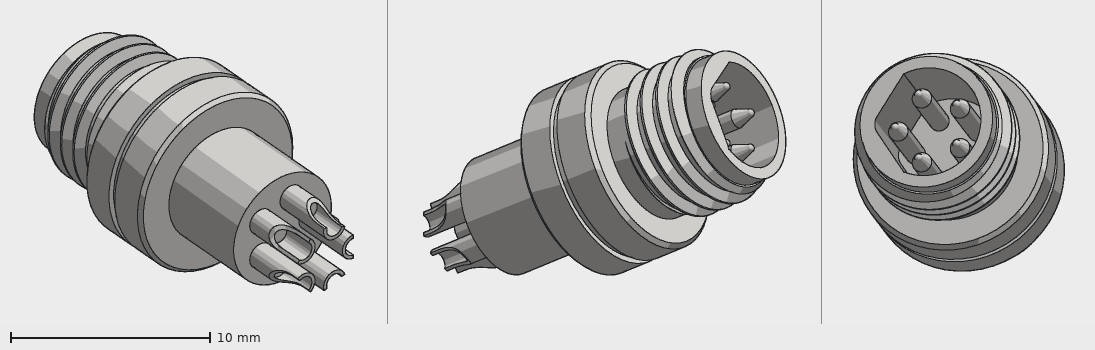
import cadquery as cq
import math


SLEEVE_RADIUS = 3.4
SLEEVE_LENGTH = 1.0
NECK_RADIUS = 3.5
FLANGE_DIAMETER = 10.0
FLANGE_RADIUS = FLANGE_DIAMETER / 2
FLANGE_FRONT = 6.0
FLANGE_REAR = 10.5
FRONT_CHAMFER = 0.23
REAR_CHAMFER = 0.21
GROOVE_FRONT = 8.0
GROOVE_WIDTH = 0.46
GROOVE_RADIUS = 4.7

THREAD_RADIUS = 4.0
THREAD_PITCH = 1.0
THREAD_TURNS = 4
THREAD_FLANK_ANGLE = 30
CREST_WIDTH = 0.12
CREST_START = 1.65
LEAD_IN_TURNS = 2
RIDGE_TURNS = THREAD_TURNS + 3
ROOT_OVERLAP = 0.04
CREST_CLEARANCE = 0.05
THREAD_FRONT = SLEEVE_LENGTH
THREAD_REAR = THREAD_FRONT + THREAD_TURNS * THREAD_PITCH

SOCKET_RADIUS = 2.8
SOCKET_DEPTH = FLANGE_FRONT
KEY_FLAT_ANGLE = 32.6
KEY_NOSE_RADIUS = 0.8
KEY_CORNER_ANGLE = 65.6

INSERT_RADIUS = 3.15
INSERT_FRONT = SOCKET_DEPTH
INSERT_REAR = 15.7

PIN_COUNT = 5
PIN_CIRCLE_RADIUS = 1.75
PIN_RADIUS = 0.5
PIN_TIP = 0.5
PIN_TIP_RADIUS = 0.21
PIN_SHOULDER = 1.55
PIN_END = 19.2

CUP_DIAMETER = 1.4
CUP_RADIUS = CUP_DIAMETER / 2
CUP_FRONT = INSERT_REAR
CUP_BORE_RADIUS = 0.5
CUP_BORE_FRONT = 17.18
CUP_CUT_RADIUS = 2.0
CUP_CUT_FLAT_START = 18.7


def cylinder(radius, front, rear):
    """Round bar on the X axis from X = front to X = rear."""
    return cq.Workplane("YZ", origin=(front, 0, 0)).circle(radius).extrude(rear - front)


def revolved(points):
    """Solid of revolution about the X axis from (x, radius) points."""
    return cq.Workplane("XY").polyline(points).close().revolve(360, (0, 0, 0), (1, 0, 0))


def make_thread():
    """Helical ridge, trimmed to a bevelled sleeve around the neck."""
    inner_radius = NECK_RADIUS - ROOT_OVERLAP
    half_crest = CREST_WIDTH / 2
    half_base = half_crest + (THREAD_RADIUS - inner_radius) * math.tan(math.radians(THREAD_FLANK_ANGLE))
    helix = cq.Wire.makeHelix(THREAD_PITCH, RIDGE_TURNS * THREAD_PITCH, inner_radius)
    ridge = (
        cq.Workplane("XZ")
        .polyline([
            (inner_radius, -half_base),
            (THREAD_RADIUS, -half_crest),
            (THREAD_RADIUS, half_crest),
            (inner_radius, half_base),
        ])
        .close()
        .sweep(cq.Workplane(obj=helix), isFrenet=True)
        .rotate((0, 0, 0), (0, 0, 1), 180)
        .rotate((0, 0, 0), (0, 1, 0), 90)
        .translate((CREST_START - LEAD_IN_TURNS * THREAD_PITCH, 0, 0))
    )
    bevel_height = THREAD_RADIUS - NECK_RADIUS + CREST_CLEARANCE
    envelope = revolved([
        (THREAD_FRONT, 0),
        (THREAD_FRONT, NECK_RADIUS),
        (THREAD_FRONT + bevel_height, NECK_RADIUS + bevel_height),
        (THREAD_REAR - bevel_height, NECK_RADIUS + bevel_height),
        (THREAD_REAR, NECK_RADIUS),
        (THREAD_REAR, 0),
    ])
    return ridge.intersect(envelope)


def make_socket():
    """Round recess whose +Y side narrows along two flats to a rounded key nose."""
    corner_angle = math.radians(KEY_CORNER_ANGLE)
    corner_y = SOCKET_RADIUS * math.cos(corner_angle)
    corner_z = SOCKET_RADIUS * math.sin(corner_angle)
    key_point_y = corner_y + corner_z * math.tan(math.radians(KEY_FLAT_ANGLE))
    return (
        cq.Workplane("YZ")
        .moveTo(corner_y, corner_z)
        .threePointArc((-SOCKET_RADIUS, 0), (corner_y, -corner_z))
        .lineTo(key_point_y, 0)
        .close()
        .extrude(SOCKET_DEPTH)
        .edges("|X and >Y")
        .fillet(KEY_NOSE_RADIUS)
    )


def make_housing():
    """Turned shell with the thread, the keyed socket and a rear bore for the insert."""
    groove_rear = GROOVE_FRONT + GROOVE_WIDTH
    body = revolved([
        (0, 0),
        (0, SLEEVE_RADIUS),
        (SLEEVE_LENGTH, SLEEVE_RADIUS),
        (SLEEVE_LENGTH, NECK_RADIUS),
        (FLANGE_FRONT, NECK_RADIUS),
        (FLANGE_FRONT, FLANGE_RADIUS - FRONT_CHAMFER),
        (FLANGE_FRONT + FRONT_CHAMFER, FLANGE_RADIUS),
        (GROOVE_FRONT, FLANGE_RADIUS),
        (GROOVE_FRONT, GROOVE_RADIUS),
        (groove_rear, GROOVE_RADIUS),
        (groove_rear, FLANGE_RADIUS),
        (FLANGE_REAR - REAR_CHAMFER, FLANGE_RADIUS),
        (FLANGE_REAR, FLANGE_RADIUS - REAR_CHAMFER),
        (FLANGE_REAR, 0),
    ])
    insert_bore = cylinder(INSERT_RADIUS, INSERT_FRONT, FLANGE_REAR)
    return body.union(make_thread()).cut(make_socket()).cut(insert_bore)


def at_pin_place(shape, index):
    """Move a shape from the X axis to one of the places on the pin circle."""
    angle = index * 360 / PIN_COUNT
    return shape.translate((0, PIN_CIRCLE_RADIUS, 0)).rotate((0, 0, 0), (1, 0, 0), angle)


def make_pin_blank():
    """Pin on the X axis, before its solder cup is opened."""
    diagonal = PIN_TIP_RADIUS * math.sqrt(0.5)
    ball_center = PIN_TIP + PIN_TIP_RADIUS
    return (
        cq.Workplane("XY")
        .moveTo(PIN_TIP, 0)
        .threePointArc((ball_center - diagonal, diagonal), (ball_center, PIN_TIP_RADIUS))
        .lineTo(PIN_SHOULDER, PIN_RADIUS)
        .lineTo(CUP_FRONT, PIN_RADIUS)
        .lineTo(CUP_FRONT, CUP_RADIUS)
        .lineTo(PIN_END, CUP_RADIUS)
        .lineTo(PIN_END, 0)
        .close()
        .revolve(360, (0, 0, 0), (1, 0, 0))
    )


def make_cup_cut():
    """Removes the +Y half of the cup, running out in an arc towards the insert."""
    run_out = math.sqrt(CUP_CUT_RADIUS**2 - (CUP_CUT_RADIUS - CUP_RADIUS) ** 2)
    half_run = run_out / 2
    half_run_height = CUP_CUT_RADIUS - math.sqrt(CUP_CUT_RADIUS**2 - half_run**2)
    return (
        cq.Workplane("XY")
        .moveTo(PIN_END, 0)
        .lineTo(CUP_CUT_FLAT_START, 0)
        .threePointArc(
            (CUP_CUT_FLAT_START - half_run, half_run_height),
            (CUP_CUT_FLAT_START - run_out, CUP_RADIUS),
        )
        .lineTo(PIN_END, CUP_RADIUS)
        .close()
        .extrude(CUP_RADIUS, both=True)
    )


def make_pins():
    """Equal pins on a circle, the first at +Y, every cup opening outwards."""
    cup_bore = cylinder(CUP_BORE_RADIUS, CUP_BORE_FRONT, PIN_END)
    pin = make_pin_blank().cut(cup_bore).cut(make_cup_cut())
    return [at_pin_place(pin, index) for index in range(PIN_COUNT)]


def make_insert():
    """Insulating cylinder with a through hole for each pin."""
    body = cylinder(INSERT_RADIUS, INSERT_FRONT, INSERT_REAR)
    pin_hole = cylinder(PIN_RADIUS, INSERT_FRONT, INSERT_REAR)
    for index in range(PIN_COUNT):
        body = body.cut(at_pin_place(pin_hole, index))
    return body


housing = make_housing()
insert = make_insert()
pins = make_pins()

result = cq.Compound.makeCompound([
    housing.val(),
    insert.val(),
    *[pin.val() for pin in pins],
])